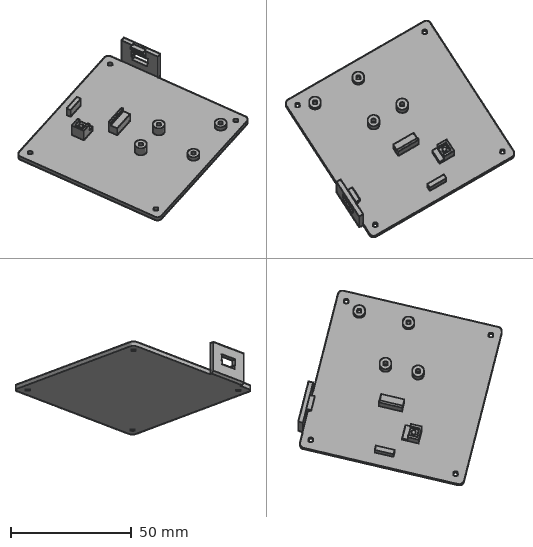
import cadquery as cq

plate_side = 70.0
plate_thickness = 2.0
corner_radius = 2.0
mount_hole_diameter = 2.0
mount_hole_spacing = 61.8

standoff_diameter = 5.0
standoff_bore = 1.9
tall_standoff_height = 4.0
low_standoff_height = tall_standoff_height / 2
tall_standoff_centers = [(7.35, 8.35), (7.35, -5.55)]
low_standoff_centers = [(27.5, 24.5), (27.5, 3.45)]

rear_edge_y = plate_side / 2
wall_center_x = -19.0
wall_width = 17.9
wall_thickness = plate_thickness
wall_top = 14.0
wall_chamfer = wall_thickness / 2

window_bottom = 5.5
window_step = 7.2
window_top = 9.9
window_lower_width = 7.35
window_upper_width = 8.0

hook_width = 6.3
hook_reach = 2.15
hook_top = 15.0
hook_tip_height = 1.0
hook_height = 4.0

rib_center = (-29.0, -0.15)
rib_width = 1.95
rib_length = 8.0
rib_height = 3.9

rest_min_x = -10.1
rest_center_y = 2.0
rest_width = 4.2
rest_length = 9.9
rest_height = 4.0
lip_width = 0.9
lip_height = 5.55

socket_center_x = -18.9
socket_min_y = -12.9
socket_width = 5.9
socket_body_length = 4.7
socket_height = 5.55
ledge_length = 2.4
ledge_height = 2.0
pocket_floor_height = 3.0
pocket_width = 3.9
pocket_length = 3.75
pin_diameter = 1.9
pin_height = 4.5


def block_on_plate(center_x, center_y, size_x, size_y, height):
    """Rectangular block standing on the plate's upper face."""
    return (
        cq.Workplane("XY", origin=(center_x, center_y, plate_thickness))
        .box(size_x, size_y, height, centered=(True, True, False))
    )


def make_plate():
    return (
        cq.Workplane("XY")
        .box(plate_side, plate_side, plate_thickness, centered=(True, True, False))
        .edges("|Z")
        .fillet(corner_radius)
        .faces(">Z")
        .workplane()
        .rect(mount_hole_spacing, mount_hole_spacing, forConstruction=True)
        .vertices()
        .hole(mount_hole_diameter)
    )


def make_standoffs(centers, height):
    return (
        cq.Workplane("XY", origin=(0, 0, plate_thickness))
        .pushPoints(centers)
        .circle(standoff_diameter / 2)
        .circle(standoff_bore / 2)
        .extrude(height)
    )


def window_cut(width, bottom, top):
    """Cutter through the wall, centred on its width."""
    return (
        cq.Workplane("XY", origin=(wall_center_x, rear_edge_y, bottom))
        .box(width, wall_thickness, top - bottom, centered=(True, False, False))
    )


def make_wall():
    wall = (
        cq.Workplane("XY", origin=(wall_center_x, rear_edge_y, 0))
        .box(wall_width, wall_thickness, wall_top, centered=(True, False, False))
        .edges(">Y and <Z")
        .chamfer(wall_chamfer)
    )
    lower_window = window_cut(window_lower_width, window_bottom, window_step)
    upper_window = window_cut(window_upper_width, window_step, window_top)
    return wall.cut(lower_window).cut(upper_window)


def make_hook():
    tip_y = rear_edge_y - hook_reach
    return (
        cq.Workplane("YZ", origin=(wall_center_x, 0, 0))
        .moveTo(rear_edge_y, hook_top)
        .lineTo(tip_y, hook_top)
        .lineTo(tip_y, hook_top - hook_tip_height)
        .lineTo(rear_edge_y, hook_top - hook_height)
        .close()
        .extrude(hook_width / 2, both=True)
    )


def make_rest():
    body_center_x = rest_min_x + rest_width / 2
    lip_center_x = rest_min_x + lip_width / 2
    body = block_on_plate(body_center_x, rest_center_y, rest_width, rest_length, rest_height)
    lip = block_on_plate(lip_center_x, rest_center_y, lip_width, rest_length, lip_height)
    return body.union(lip)


def make_socket():
    body_max_y = socket_min_y + socket_body_length
    body_center_y = socket_min_y + socket_body_length / 2
    pocket_center_y = body_max_y - pocket_length / 2
    total_length = socket_body_length + ledge_length
    base_center_y = socket_min_y + total_length / 2

    base = block_on_plate(socket_center_x, base_center_y, socket_width, total_length, ledge_height)
    body = block_on_plate(socket_center_x, body_center_y, socket_width, socket_body_length, socket_height)
    pocket = block_on_plate(
        socket_center_x, pocket_center_y, pocket_width, pocket_length, socket_height
    ).translate((0, 0, pocket_floor_height))
    pin = (
        cq.Workplane("XY", origin=(socket_center_x, pocket_center_y, plate_thickness))
        .circle(pin_diameter / 2)
        .extrude(pin_height)
    )
    return base.union(body).cut(pocket).union(pin)


result = (
    make_plate()
    .union(make_standoffs(tall_standoff_centers, tall_standoff_height))
    .union(make_standoffs(low_standoff_centers, low_standoff_height))
    .union(make_wall())
    .union(make_hook())
    .union(block_on_plate(*rib_center, rib_width, rib_length, rib_height))
    .union(make_rest())
    .union(make_socket())
)